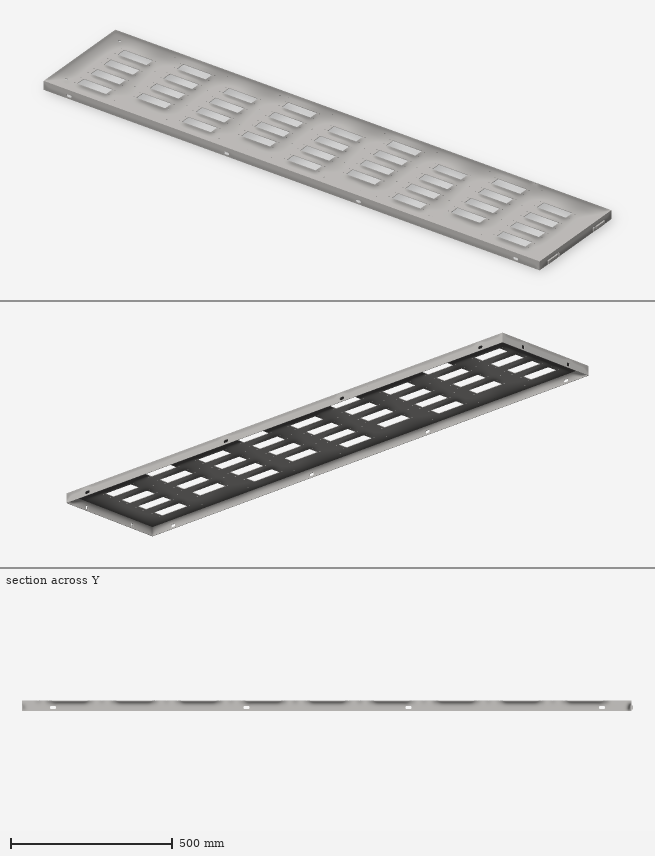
import cadquery as cq

total_length = 1897.0
tray_width = 383.0
tray_height = 32.0
tab_reach = 5.0
sheet = 2.0
tray_length = total_length - tab_reach
tray_left = -total_length / 2
tray_right = tray_left + tray_length
through_depth = 4 * sheet

column_count = 9
column_span = 1600.0
column_pitch = column_span / (column_count - 1)
windows_per_column = 4
window_levels = 2 * windows_per_column
level_span = 252.0
level_pitch = level_span / (window_levels - 1)
window_pitch = 2 * level_pitch
window_length = 110.0
window_width = 36.0
stagger = level_pitch / 2

screw_diameter = 4.0
screw_spacing_x = 130.0
screw_spacing_y = 32.0

grid_columns = column_count - 1
grid_rows = 4
grid_row_span = 325.0
grid_row_pitch = grid_row_span / (grid_rows - 1)
grid_diameter = 4.0

end_hole_diameter = 10.0
end_hole_inset = 51.0
end_hole_spacing = 285.0

opening_height = 10.5
side_slot_width = 10.0
side_slot_length = 19.0
outer_slot_spacing = 1704.0
inner_slot_spacing = 503.0
end_opening_size = 11.0
end_opening_spacing = 200.0

tab_length = 59.0
tab_thickness = end_opening_size
tab_spacing = 243.0


def centered_positions(count, pitch):
    return [(i - (count - 1) / 2) * pitch for i in range(count)]


def make_tray():
    outer = cq.Workplane("XY").box(tray_length, tray_width, tray_height, centered=(True, True, False))
    cavity = cq.Workplane("XY").box(
        tray_length - 2 * sheet, tray_width - 2 * sheet, tray_height - sheet, centered=(True, True, False)
    )
    return outer.cut(cavity).translate(((tray_left + tray_right) / 2, 0, 0))


def window_centers():
    centers = []
    for column, x in enumerate(centered_positions(column_count, column_pitch)):
        shift = -stagger if column % 2 == 0 else stagger
        for y in centered_positions(windows_per_column, window_pitch):
            centers.append((x, y + shift))
    return centers


def top_sketch():
    return cq.Workplane("XY").workplane(offset=tray_height + sheet)


def make_windows():
    return top_sketch().pushPoints(window_centers()).rect(window_length, window_width).extrude(-through_depth)


def make_top_holes(points, diameter):
    return top_sketch().pushPoints(points).circle(diameter / 2).extrude(-through_depth)


def screw_points():
    return [
        (x + dx, y + dy)
        for x, y in window_centers()
        for dx in (-screw_spacing_x / 2, screw_spacing_x / 2)
        for dy in (-screw_spacing_y / 2, screw_spacing_y / 2)
    ]


def grid_points():
    return [
        (x, y)
        for x in centered_positions(grid_columns, column_pitch)
        for y in centered_positions(grid_rows, grid_row_pitch)
    ]


def end_hole_points():
    return [(tray_left + end_hole_inset, y) for y in centered_positions(2, end_hole_spacing)]


def make_side_slots():
    centers = centered_positions(2, outer_slot_spacing) + centered_positions(2, inner_slot_spacing)
    return (
        cq.Workplane("XZ")
        .pushPoints([(x, opening_height) for x in centers])
        .slot2D(side_slot_length, side_slot_width)
        .extrude(tray_width, both=True)
    )


def make_end_openings():
    return (
        cq.Workplane("YZ")
        .pushPoints([(y, opening_height) for y in centered_positions(2, end_opening_spacing)])
        .rect(end_opening_size, end_opening_size)
        .extrude(total_length, both=True)
    )


def make_tabs():
    return (
        cq.Workplane("YZ")
        .workplane(offset=tray_right - sheet)
        .pushPoints([(y, opening_height) for y in centered_positions(2, tab_spacing)])
        .rect(tab_length, tab_thickness)
        .extrude(tab_reach + sheet)
    )


result = (
    make_tray()
    .union(make_tabs())
    .cut(make_windows())
    .cut(make_top_holes(screw_points(), screw_diameter))
    .cut(make_top_holes(grid_points(), grid_diameter))
    .cut(make_top_holes(end_hole_points(), end_hole_diameter))
    .cut(make_side_slots())
    .cut(make_end_openings())
)